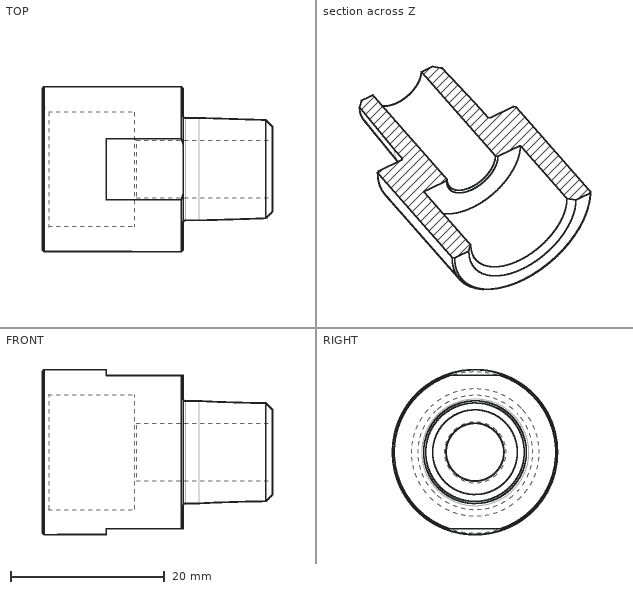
import cadquery as cq

total_length = 30.0

body_diameter = 21.5
body_length = 18.33
edge_chamfer = 0.25

across_flats = 19.98
flat_length = 10.0

spigot_diameter = 13.38
taper_start = 20.35
taper_ratio = 1 / 16
tip_chamfer = 0.9
root_fillet = 0.27

socket_diameter = 14.95
socket_depth = 12.0
socket_chamfer = 0.85
bore_diameter = 7.5
bore_chamfer = 0.25


def revolve_about_x(profile):
    """Turn a closed half profile, drawn as (x, radius), around the X axis."""
    return profile.close().revolve(360, (0, 0, 0), (1, 0, 0))


def make_turned_blank():
    body_radius = body_diameter / 2
    spigot_radius = spigot_diameter / 2
    taper_end = total_length - tip_chamfer
    taper_end_radius = spigot_radius - (taper_end - taper_start) * taper_ratio / 2

    profile = (
        cq.Workplane("XY")
        .moveTo(0, 0)
        .lineTo(0, body_radius - edge_chamfer)
        .lineTo(edge_chamfer, body_radius)
        .lineTo(body_length - edge_chamfer, body_radius)
        .lineTo(body_length, body_radius - edge_chamfer)
        .lineTo(body_length, spigot_radius + root_fillet)
        .radiusArc((body_length + root_fillet, spigot_radius), -root_fillet)
        .lineTo(taper_start, spigot_radius)
        .lineTo(taper_end, taper_end_radius)
        .lineTo(total_length, taper_end_radius - tip_chamfer)
        .lineTo(total_length, 0)
    )
    return revolve_about_x(profile)


def make_bore():
    """Stepped bore: chamfered socket from the body end, then the through bore."""
    socket_radius = socket_diameter / 2
    bore_radius = bore_diameter / 2

    profile = (
        cq.Workplane("XY")
        .moveTo(0, 0)
        .lineTo(0, socket_radius + socket_chamfer)
        .lineTo(socket_chamfer, socket_radius)
        .lineTo(socket_depth, socket_radius)
        .lineTo(socket_depth, bore_radius + bore_chamfer)
        .lineTo(socket_depth + bore_chamfer, bore_radius)
        .lineTo(total_length, bore_radius)
        .lineTo(total_length, 0)
    )
    return revolve_about_x(profile)


def make_flat_cutter(side):
    """Block that cuts one wrench flat; side is +1 for the top and -1 for the bottom."""
    block_height = body_diameter - across_flats
    return cq.Workplane("XY").box(flat_length, body_diameter, block_height).translate(
        (body_length - flat_length / 2, 0, side * (across_flats + block_height) / 2)
    )


result = make_turned_blank().cut(make_bore())
for side in (1, -1):
    result = result.cut(make_flat_cutter(side))